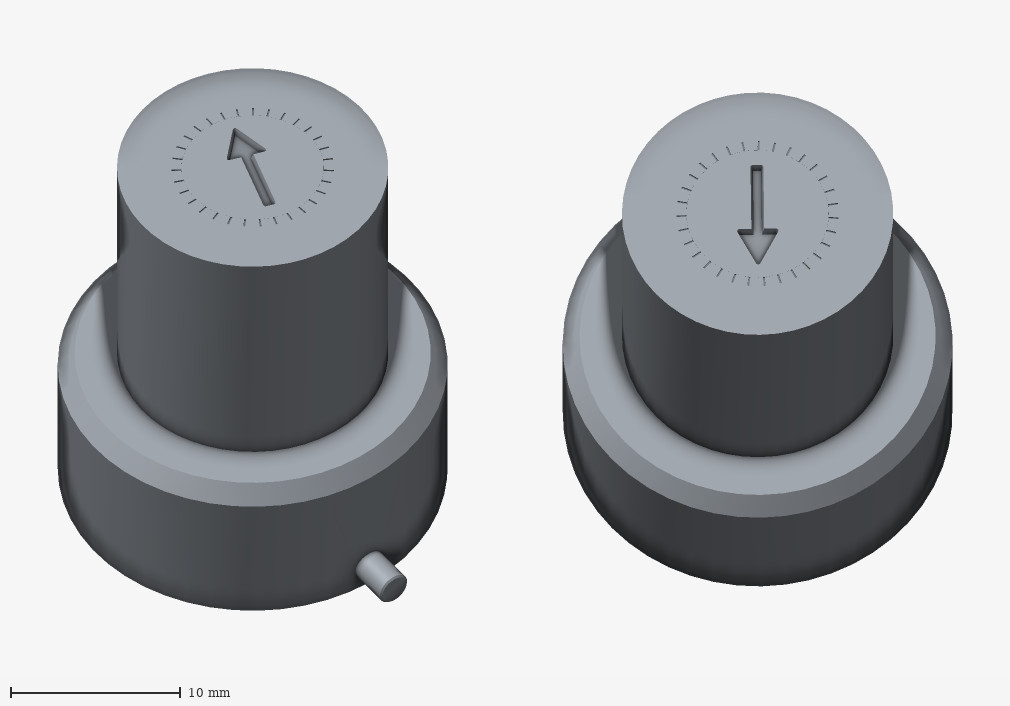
import cadquery as cq

TOTAL_HEIGHT = 27.0
BASE_DIAMETER = 23.0
BASE_HEIGHT = 11.0
BASE_CHAMFER = 1.0
POST_DIAMETER = 16.0

DIAL_DIAMETER = 8.4
DIAL_LENGTH = TOTAL_HEIGHT - BASE_HEIGHT

ARROW_ANGLE = 162.0
ARROW_TIP = 3.2
ARROW_HEAD_BASE = 1.13
ARROW_TAIL = -3.08
ARROW_HEAD_WIDTH = 2.15
ARROW_SHAFT_WIDTH = 0.49
ARROW_DEPTH = 0.5
ARROW_WALL_TAPER = 15.0

MARK_COUNT = 31
FIRST_MARK_ANGLE = -89.2
MARK_LENGTH = 0.6
MARK_WIDTH = 0.1
MARK_DEPTH = 0.1

PIN_DIAMETER = 2.0
PIN_AXIS_HEIGHT = 2.5
PIN_PROJECTION = 2.48
PIN_LENGTH = 3 * PIN_DIAMETER
PIN_CHAMFER = 0.1
PIN_END_X = BASE_DIAMETER / 2 + PIN_PROJECTION
PIN_START_X = PIN_END_X - PIN_LENGTH


def dial_cylinder():
    """Plain cylinder of the dial; it also forms the dial's bore in the housing."""
    bottom = cq.Workplane("XY").workplane(offset=TOTAL_HEIGHT - DIAL_LENGTH)
    return bottom.circle(DIAL_DIAMETER / 2).extrude(DIAL_LENGTH)


def pin_cylinder():
    """Plain cylinder of the pin; it also forms the pin's blind hole in the base."""
    start = cq.Workplane("YZ").workplane(offset=PIN_START_X)
    return start.center(0, PIN_AXIS_HEIGHT).circle(PIN_DIAMETER / 2).extrude(PIN_LENGTH)


def graduation_marks():
    """Radial grooves running outward from the edge of the dial."""
    groove_length = MARK_LENGTH + MARK_WIDTH
    middle_radius = DIAL_DIAMETER / 2 + MARK_LENGTH - groove_length / 2
    floor = cq.Workplane("XY").workplane(offset=TOTAL_HEIGHT - MARK_DEPTH)
    marks = floor.polarArray(middle_radius, FIRST_MARK_ANGLE, 360, MARK_COUNT)
    return marks.rect(groove_length, MARK_WIDTH).extrude(MARK_DEPTH)


def make_housing():
    base = cq.Workplane("XY").circle(BASE_DIAMETER / 2).extrude(BASE_HEIGHT)
    base = base.faces("<Z or >Z").edges().chamfer(BASE_CHAMFER)
    post = cq.Workplane("XY").circle(POST_DIAMETER / 2).extrude(TOTAL_HEIGHT)
    housing = base.union(post)
    return housing.cut(dial_cylinder()).cut(pin_cylinder()).cut(graduation_marks())


def arrow_recess():
    """Arrow with a triangular head and a straight shaft, sunk into the top of the dial."""
    half_head = ARROW_HEAD_WIDTH / 2
    half_shaft = ARROW_SHAFT_WIDTH / 2
    outline = [
        (ARROW_TIP, 0),
        (ARROW_HEAD_BASE, half_head),
        (ARROW_HEAD_BASE, half_shaft),
        (ARROW_TAIL, half_shaft),
        (ARROW_TAIL, -half_shaft),
        (ARROW_HEAD_BASE, -half_shaft),
        (ARROW_HEAD_BASE, -half_head),
    ]
    floor = cq.Workplane("XY").workplane(offset=TOTAL_HEIGHT - ARROW_DEPTH)
    arrow = floor.polyline(outline).close().extrude(ARROW_DEPTH, taper=-ARROW_WALL_TAPER)
    return arrow.rotate((0, 0, 0), (0, 0, 1), ARROW_ANGLE)


def make_dial():
    return dial_cylinder().cut(arrow_recess())


def make_pin():
    return pin_cylinder().faces(">X").edges().chamfer(PIN_CHAMFER)


housing = make_housing()
dial = make_dial()
pin = make_pin()

result = cq.Compound.makeCompound([housing.val(), dial.val(), pin.val()])